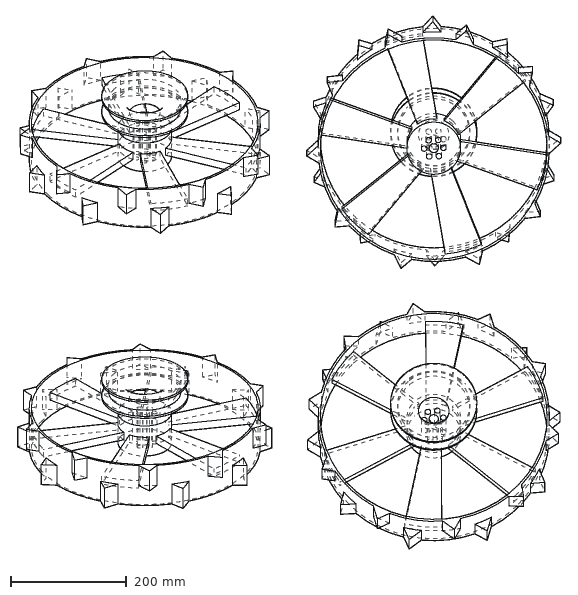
import cadquery as cq
import math

rim_outer_radius = 400.0 / 2
rim_inner_radius = 392.0 / 2
rim_height = 80.0
rim_mid_height = rim_height / 2

teeth_per_row = 10
lower_tip_radius = 220.0
lower_tip_angle = 1.1
upper_tip_radius = 218.5
upper_tip_angle = 21.7
tooth_short_side_angle = 4.0
tooth_long_side_angle = 5.0

hub_radius = 93.5 / 2
hub_height = 60.5
hub_bore_diameter = 16.0
bolt_hole_count = 6
bolt_hole_diameter = 9.5
bolt_circle_radius = 16.7
first_bolt_angle = 13.9

spoke_count = 6
first_spoke_angle = 30.8
spoke_thickness = 15.0
spoke_hub_width = 35.5
spoke_rim_width = 65.5

pulley_bottom = 101.5
flange_radius = 149.2 / 2
groove_radius = 125.0 / 2
flange_edge_height = 4.0
flange_cone_height = 5.5
groove_height = 17.5
lip_rise = 0.25
bowl_mouth_radius = 131.0 / 2
bowl_throat_radius = 53.0 / 2


def polar_point(radius, angle):
    """Return the XY point at a radius and an angle in degrees."""
    radians = math.radians(angle)
    return (radius * math.cos(radians), radius * math.sin(radians))


def make_rim():
    return cq.Workplane("XY").circle(rim_outer_radius).circle(rim_inner_radius).extrude(rim_height)


def make_tooth(tip_radius, tip_angle, side_before, side_after, bottom):
    """Triangular prism whose base chord has both ends on the outside of the rim."""
    outline = [
        polar_point(rim_outer_radius, tip_angle - side_before),
        polar_point(tip_radius, tip_angle),
        polar_point(rim_outer_radius, tip_angle + side_after),
    ]
    return cq.Workplane("XY").workplane(offset=bottom).polyline(outline).close().extrude(rim_mid_height)


def make_hub():
    hub_bottom = rim_mid_height - hub_height / 2
    return cq.Workplane("XY").workplane(offset=hub_bottom).circle(hub_radius).extrude(hub_height)


def make_spoke(angle):
    """Spoke that widens outward; it ends inside the rim wall and runs into the hub."""
    taper = (spoke_rim_width - spoke_hub_width) / (rim_inner_radius - hub_radius)
    inner_end = hub_radius / 2
    outer_end = (rim_inner_radius + rim_outer_radius) / 2
    inner_half_width = (spoke_hub_width - taper * (hub_radius - inner_end)) / 2
    outer_half_width = (spoke_rim_width + taper * (outer_end - rim_inner_radius)) / 2
    outline = [
        (inner_end, -inner_half_width),
        (outer_end, -outer_half_width),
        (outer_end, outer_half_width),
        (inner_end, inner_half_width),
    ]
    spoke = cq.Workplane("XY").workplane(offset=rim_mid_height - spoke_thickness / 2)
    spoke = spoke.polyline(outline).close().extrude(spoke_thickness)
    spoke = spoke.intersect(cq.Workplane("XY").circle(outer_end).extrude(rim_height))
    return spoke.rotate((0, 0, 0), (0, 0, 1), angle)


def drill_hub(wheel):
    bolt_points = [
        polar_point(bolt_circle_radius, first_bolt_angle + 360 / bolt_hole_count * i)
        for i in range(bolt_hole_count)
    ]
    bore = cq.Workplane("XY").circle(hub_bore_diameter / 2).extrude(rim_height)
    bolt_holes = cq.Workplane("XY").pushPoints(bolt_points).circle(bolt_hole_diameter / 2).extrude(rim_height)
    return wheel.cut(bore).cut(bolt_holes)


def make_wheel():
    wheel = make_rim().union(make_hub())
    for i in range(spoke_count):
        wheel = wheel.union(make_spoke(first_spoke_angle + 360 / spoke_count * i))
    for i in range(teeth_per_row):
        turn = 360 / teeth_per_row * i
        lower_tooth = make_tooth(
            lower_tip_radius,
            lower_tip_angle + turn,
            tooth_short_side_angle,
            tooth_long_side_angle,
            0,
        )
        upper_tooth = make_tooth(
            upper_tip_radius,
            upper_tip_angle + turn,
            tooth_long_side_angle,
            tooth_short_side_angle,
            rim_mid_height,
        )
        wheel = wheel.union(lower_tooth).union(upper_tooth)
    return drill_hub(wheel)


def make_pulley():
    """Grooved pulley with a trumpet-shaped bowl, revolved about Z."""
    lower_edge_top = pulley_bottom + flange_edge_height
    groove_bottom = lower_edge_top + flange_cone_height
    groove_top = groove_bottom + groove_height
    upper_edge_bottom = groove_top + flange_cone_height
    upper_edge_top = upper_edge_bottom + flange_edge_height
    lip_top = upper_edge_top + lip_rise

    profile = (
        cq.Workplane("XZ")
        .moveTo(bowl_throat_radius, pulley_bottom)
        .lineTo(flange_radius, pulley_bottom)
        .lineTo(flange_radius, lower_edge_top)
        .lineTo(groove_radius, groove_bottom)
        .lineTo(groove_radius, groove_top)
        .lineTo(flange_radius, upper_edge_bottom)
        .lineTo(flange_radius, upper_edge_top)
        .lineTo(bowl_mouth_radius, lip_top)
        .tangentArcPoint((bowl_throat_radius, pulley_bottom), relative=False)
        .close()
    )
    return profile.revolve(360, (0, 0, 0), (0, 1, 0))


wheel = make_wheel()
pulley = make_pulley()
result = cq.Compound.makeCompound([wheel.val(), pulley.val()])